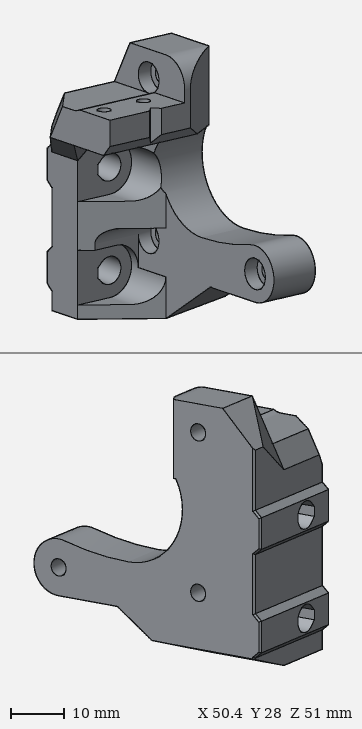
import cadquery as cq
import math


SCREW_SPACING = 31.0
TIP_RADIUS = 5.5
PLATE_FRONT = -10.0
BORE_RADIUS = 12.0
PLATE_BOTTOM = -14.5
PLATE_TOP = SCREW_SPACING + TIP_RADIUS
ARM_BEND_X = 17.95
COLUMN_RIGHT = 5.05
BOTTOM_BEVEL_HEIGHT = 3.6
SCREW_DIAMETER = 3.3
SCREW_HEAD_DIAMETER = 6.0
SCREW_SEAT_Y = -7.0

WALL_LEFT = -12.5
WALL_RIGHT = -4.95
WALL_FRONT = -23.0
TOP_BEVEL = 7.05

PAD_HEIGHT = 1.4
PAD_ROOT_HALF = 4.3
PAD_TIP_HALF = 3.05
BACK_BEVEL = 0.35
PAD_SPACING = 20.0
LOWER_PAD_Z = -6.45
PAD_HOLE_Y = -15.3
PAD_HOLE_DIAMETER = 5.4
PAD_HOLE_FLAT = 2.85
POCKET_DIAMETER = 10.55

BLOCK_FRONT = -28.0
BLOCK_BOTTOM = 21.2
BLOCK_RIGHT = 10.5
BLOCK_LEFT_TOP = SCREW_SPACING - SCREW_HEAD_DIAMETER / 2
BLOCK_RIGHT_TOP = 28.45
BLOCK_BEVEL_WIDTH = 1.85
BLOCK_BEVEL_HEIGHT = 2.15
SIDE_BEVEL_HEIGHT = 13.15
CORNER_BEVEL = 5.55
FLANK_WIDTH = 5.0
FLANK_DEPTH = 8.6
SENSOR_X = 4.55
SENSOR_YS = (-15.0, -24.5)
SENSOR_HOLE_DIAMETER = 1.6
SENSOR_MOUTH_DIAMETER = 2.6
NOTCH_Y = -17.05
NOTCH_DEPTH = 1.45

PLATE_DEPTH = -PLATE_FRONT
SCREW_HEAD_RADIUS = SCREW_HEAD_DIAMETER / 2
BORE_CENTER = SCREW_SPACING / 2
SIDE_BEVEL_LEAN = TOP_BEVEL / SIDE_BEVEL_HEIGHT
SIDE_BEVEL_BOTTOM = PLATE_TOP - SIDE_BEVEL_HEIGHT
PAD_CENTERS = (LOWER_PAD_Z, LOWER_PAD_Z + PAD_SPACING)
CUTTER_SIZE = 153.0


def prism_y(points, y_back, y_front):
    """Prism with an X-Z outline, reaching from y_back to y_front."""
    return cq.Workplane("XZ", origin=(0, y_back, 0)).polyline(points).close().extrude(y_back - y_front)


def cylinder_y(x, z, diameter, y_back, y_front):
    """Cylinder along Y, reaching from y_back to y_front."""
    return cq.Workplane("XZ", origin=(x, y_back, z)).circle(diameter / 2).extrude(y_back - y_front)


def half_space_cut(solid, point, normal):
    """Remove everything on the side of a plane its normal points to."""
    plane = cq.Plane(origin=point, normal=normal)
    return solid.cut(cq.Workplane(plane).rect(CUTTER_SIZE, CUTTER_SIZE).extrude(CUTTER_SIZE))


def motor_plate():
    """Plate below the upper block, with the arm and its rounded tip; the bore is not yet cut."""
    start_z = BORE_CENTER - BORE_RADIUS
    reach = SCREW_SPACING - BORE_CENTER
    arm_radius = (reach**2 + start_z**2 - TIP_RADIUS**2) / (2 * (TIP_RADIUS - start_z))
    arm_center_z = start_z + arm_radius
    lean = math.atan2(reach, arm_center_z)
    tip_start = (SCREW_SPACING - TIP_RADIUS * math.sin(lean), TIP_RADIUS * math.cos(lean))
    arm_middle = (
        BORE_CENTER + arm_radius * math.sin(lean / 2),
        arm_center_z - arm_radius * math.cos(lean / 2),
    )
    return (
        cq.Workplane("XZ")
        .moveTo(WALL_LEFT, PLATE_BOTTOM)
        .lineTo(COLUMN_RIGHT, PLATE_BOTTOM)
        .lineTo(ARM_BEND_X, -TIP_RADIUS)
        .lineTo(SCREW_SPACING, -TIP_RADIUS)
        .threePointArc((SCREW_SPACING + TIP_RADIUS, 0), tip_start)
        .threePointArc(arm_middle, (BORE_CENTER, start_z))
        .lineTo(BORE_CENTER, BLOCK_BOTTOM)
        .lineTo(WALL_LEFT, BLOCK_BOTTOM)
        .close()
        .extrude(PLATE_DEPTH)
    )


def upper_plate():
    """Part of the plate above the bore, with its right flank slanted back to the plate's edge."""
    body = (
        cq.Workplane("XZ")
        .moveTo(WALL_LEFT, BLOCK_BOTTOM)
        .lineTo(BLOCK_RIGHT - BLOCK_BEVEL_WIDTH, BLOCK_BOTTOM)
        .lineTo(BLOCK_RIGHT, BLOCK_BOTTOM + BLOCK_BEVEL_HEIGHT)
        .lineTo(BLOCK_RIGHT, SCREW_SPACING)
        .radiusArc((BLOCK_RIGHT - TIP_RADIUS, PLATE_TOP), -TIP_RADIUS)
        .lineTo(WALL_LEFT + TOP_BEVEL, PLATE_TOP)
        .lineTo(WALL_LEFT, PLATE_TOP - TOP_BEVEL)
        .close()
        .extrude(PLATE_DEPTH)
    )
    flank_start = (BLOCK_RIGHT - FLANK_WIDTH, 0, 0)
    body = half_space_cut(body, flank_start, (FLANK_DEPTH, FLANK_WIDTH, 0))
    top = cq.Vector(WALL_LEFT + TOP_BEVEL, PLATE_FRONT, PLATE_TOP)
    to_back = cq.Vector(-TOP_BEVEL, TOP_BEVEL, -TOP_BEVEL)
    to_bottom = cq.Vector(-TOP_BEVEL, 0, -SIDE_BEVEL_HEIGHT)
    return half_space_cut(body, top, to_back.cross(to_bottom))


def mounting_wall():
    """Wall up to the block, and the gusset that slopes from its front edge down to the plate."""
    return cq.Workplane("XY", origin=(0, 0, PLATE_BOTTOM)).polyline(
        [
            (WALL_LEFT, 0),
            (WALL_LEFT, WALL_FRONT),
            (WALL_RIGHT, WALL_FRONT),
            (COLUMN_RIGHT, PLATE_FRONT),
            (COLUMN_RIGHT, 0),
        ]
    ).close().extrude(BLOCK_BOTTOM - PLATE_BOTTOM)


def upper_block():
    """Block in front of the plate, with 45 degree undersides leading down to the wall."""
    overhang = WALL_FRONT - BLOCK_FRONT
    block = prism_y(
        [
            (WALL_LEFT, BLOCK_BOTTOM - overhang),
            (WALL_RIGHT, BLOCK_BOTTOM - overhang),
            (WALL_RIGHT + overhang, BLOCK_BOTTOM),
            (BLOCK_RIGHT - BLOCK_BEVEL_WIDTH, BLOCK_BOTTOM),
            (BLOCK_RIGHT, BLOCK_BOTTOM + BLOCK_BEVEL_HEIGHT),
            (BLOCK_RIGHT, BLOCK_RIGHT_TOP),
            (0, BLOCK_RIGHT_TOP),
            (0, BLOCK_LEFT_TOP),
            (WALL_LEFT + SIDE_BEVEL_LEAN * (BLOCK_LEFT_TOP - SIDE_BEVEL_BOTTOM), BLOCK_LEFT_TOP),
            (WALL_LEFT, SIDE_BEVEL_BOTTOM),
        ],
        PLATE_FRONT,
        BLOCK_FRONT,
    )
    block = half_space_cut(block, (0, WALL_FRONT, BLOCK_BOTTOM - overhang), (0, -1, -1))

    corner = (WALL_LEFT, WALL_FRONT, BLOCK_BOTTOM)
    block = half_space_cut(block, corner, (-overhang, -CORNER_BEVEL, 0))
    block = half_space_cut(block, corner, (-overhang, -CORNER_BEVEL, overhang * SIDE_BEVEL_LEAN))

    notch = cq.Workplane("XY").polyline(
        [
            (BLOCK_RIGHT, NOTCH_Y - NOTCH_DEPTH),
            (BLOCK_RIGHT - NOTCH_DEPTH, NOTCH_Y),
            (BLOCK_RIGHT, NOTCH_Y + NOTCH_DEPTH),
        ]
    ).close().extrude(PLATE_TOP)
    block = block.cut(notch)

    for y in SENSOR_YS:
        tapered_hole = cq.Solid.makeCone(
            SENSOR_HOLE_DIAMETER / 2,
            SENSOR_MOUTH_DIAMETER / 2,
            BLOCK_RIGHT_TOP - BLOCK_BOTTOM,
            pnt=cq.Vector(SENSOR_X, y, BLOCK_BOTTOM),
        )
        block = block.cut(cq.Workplane(tapered_hole))
    return block


def wall_pad(z):
    """Pad with sloped flanks running along the outside of the wall."""
    return prism_y(
        [
            (WALL_LEFT, z - PAD_ROOT_HALF),
            (WALL_LEFT - PAD_HEIGHT, z - PAD_TIP_HALF),
            (WALL_LEFT - PAD_HEIGHT, z + PAD_TIP_HALF),
            (WALL_LEFT, z + PAD_ROOT_HALF),
        ],
        0,
        WALL_FRONT,
    )


def pad_hole(z):
    """Teardrop hole through the wall and the open-fronted pocket behind it."""
    radius = PAD_HOLE_DIAMETER / 2
    shoulder = radius / math.sqrt(2)
    flat_half = 2 * shoulder - PAD_HOLE_FLAT
    left = WALL_LEFT - PAD_HEIGHT
    length = BLOCK_RIGHT - left
    teardrop = (
        cq.Workplane("YZ", origin=(left, PAD_HOLE_Y, z))
        .moveTo(-shoulder, -shoulder)
        .threePointArc((radius, 0), (-shoulder, shoulder))
        .lineTo(-PAD_HOLE_FLAT, flat_half)
        .lineTo(-PAD_HOLE_FLAT, -flat_half)
        .close()
        .extrude(length)
    )
    pocket_radius = POCKET_DIAMETER / 2
    pocket_front = WALL_FRONT - PAD_HOLE_Y
    pocket = (
        cq.Workplane("YZ", origin=(WALL_RIGHT, PAD_HOLE_Y, z))
        .moveTo(pocket_front, -pocket_radius)
        .lineTo(0, -pocket_radius)
        .threePointArc((pocket_radius, 0), (0, pocket_radius))
        .lineTo(pocket_front, pocket_radius)
        .close()
        .extrude(COLUMN_RIGHT - WALL_RIGHT)
    )
    return teardrop.union(pocket)


def screw_access():
    """Room in the gusset for the head of the lower-left motor screw."""
    return prism_y(
        [
            (-SCREW_HEAD_RADIUS, 0),
            (0, 0),
            (0, SCREW_HEAD_RADIUS),
            (COLUMN_RIGHT, SCREW_HEAD_RADIUS),
            (COLUMN_RIGHT, LOWER_PAD_Z),
            (-SCREW_HEAD_RADIUS, LOWER_PAD_Z),
        ],
        PLATE_FRONT,
        BLOCK_FRONT,
    )


bore = cylinder_y(BORE_CENTER, BORE_CENTER, 2 * BORE_RADIUS, 0, BLOCK_FRONT)
result = motor_plate().union(mounting_wall()).cut(bore)
result = result.union(upper_plate().union(upper_block()))
for pad_z in PAD_CENTERS:
    result = result.union(wall_pad(pad_z))

result = half_space_cut(
    result,
    (0, 0, PLATE_BOTTOM + BOTTOM_BEVEL_HEIGHT),
    (0, BOTTOM_BEVEL_HEIGHT, -PLATE_DEPTH),
)

left_edges = cq.selectors.BoxSelector(
    (WALL_LEFT - PAD_HEIGHT - BACK_BEVEL, -BACK_BEVEL, PLATE_BOTTOM),
    (WALL_LEFT + BACK_BEVEL, BACK_BEVEL, PLATE_TOP - TOP_BEVEL),
)
result = result.faces(">Y").edges(left_edges).chamfer(BACK_BEVEL)

for pad_z in PAD_CENTERS:
    result = result.cut(pad_hole(pad_z))
result = result.cut(screw_access())
for x, z in ((0, 0), (SCREW_SPACING, 0), (0, SCREW_SPACING)):
    result = result.cut(cylinder_y(x, z, SCREW_DIAMETER, 0, BLOCK_FRONT))
    result = result.cut(cylinder_y(x, z, SCREW_HEAD_DIAMETER, SCREW_SEAT_Y, BLOCK_FRONT))